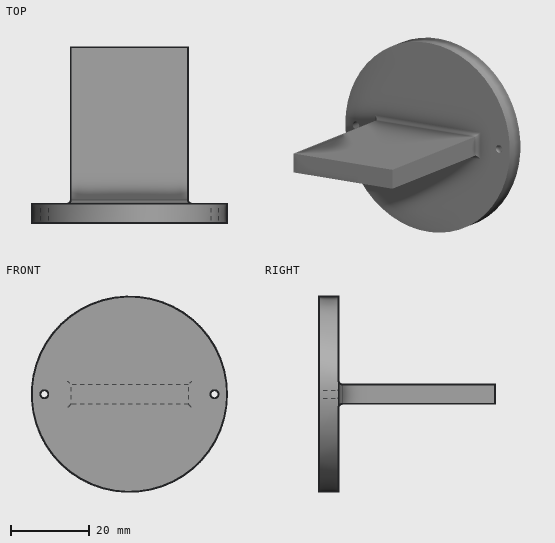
import cadquery as cq

disc_diameter = 50
disc_thickness = 5

total_depth = 45
blade_width = 30
blade_thickness = 5
root_fillet = 1

hole_diameter = 2
hole_spacing = 43.5


def cylinder_along_y(diameter, length):
    """Cylinder from Y = 0 to Y = length, centred on the Y axis."""
    return cq.Workplane("XZ").circle(diameter / 2).extrude(-length)


disc = cylinder_along_y(disc_diameter, disc_thickness)

blade = cq.Workplane("XY").box(
    blade_width, total_depth, blade_thickness, centered=(True, False, True)
)
body = disc.union(blade)

root_reach = 0.5
root_zone = cq.selectors.BoxSelector(
    (-blade_width / 2 - root_reach, disc_thickness - root_reach, -blade_thickness / 2 - root_reach),
    (blade_width / 2 + root_reach, disc_thickness + root_reach, blade_thickness / 2 + root_reach),
)
body = body.edges("%LINE").edges(root_zone).fillet(root_fillet)

hole = cylinder_along_y(hole_diameter, disc_thickness)
for side in (-1, 1):
    body = body.cut(hole.translate((side * hole_spacing / 2, 0, 0)))

result = body